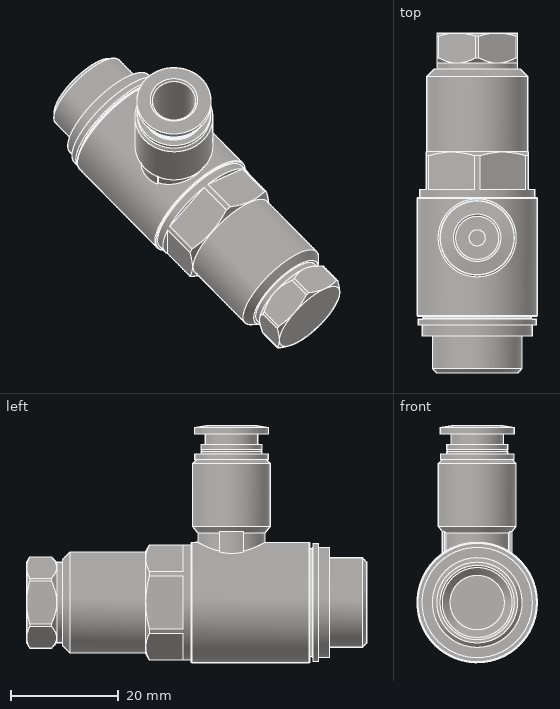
import cadquery as cq
import math


overall_length = 63.2
front_y = -25.15
rear_y = front_y + overall_length
thread_length = 6.9
collar_width = 2.05
washer_width = 1.1
groove_width = 0.5
body_length = 22.1
rear_flange_width = 1.5
hex_length = 7.0
sleeve_length = 15.4
neck_width = 1.05

collar_front_y = front_y + thread_length
washer_front_y = collar_front_y + collar_width
groove_front_y = washer_front_y + washer_width
body_front_y = groove_front_y + groove_width
body_rear_y = body_front_y + body_length
hex_front_y = body_rear_y + rear_flange_width
hex_rear_y = hex_front_y + hex_length
sleeve_rear_y = hex_rear_y + sleeve_length
nut_front_y = sleeve_rear_y + neck_width

thread_diameter = 16.66
thread_chamfer = 0.83
collar_diameter = 20.5
washer_diameter = 22.0
groove_diameter = 20.15
body_diameter = 22.4
body_edge_chamfer_width = 0.2
body_edge_chamfer_height = 0.1
rear_flange_diameter = 21.4
sleeve_diameter = 18.8
sleeve_chamfer = 1.4
neck_diameter = 15.0

hex_sides = 6
hex_half_sector = 180 / hex_sides
body_hex_flats = 19.0
body_hex_corner_diameter = 21.4
nut_flats = 15.0
nut_corner_diameter = 17.0
hex_chamfer_angle = 30.0
nut_inner_chamfer_angle = 45.0

socket_mouth_diameter = 13.8
socket_diameter = 13.0
socket_floor_diameter = 10.1
socket_mouth_taper_length = 0.75
socket_cone_start = 1.7
socket_depth = socket_cone_start + (socket_diameter - socket_floor_diameter) / 2

stem_top_z = 32.9
flange_top_z = 32.5
flange_bottom_z = 31.27
ring_top_z = 29.4
ring_groove_top_z = 28.45
ring_groove_bottom_z = 28.05
cap_top_z = 27.6
cap_bottom_z = 26.55
barrel_shoulder_z = 25.8
barrel_bottom_z = 14.15
stem_neck_top_z = 12.9

flange_diameter = 13.8
release_sleeve_diameter = 9.8
ring_diameter = 11.4
ring_groove_diameter = 11.0
cap_diameter = 13.68
barrel_top_diameter = 13.0
barrel_diameter = 14.5
stem_neck_diameter = 12.5
key_diameter = 13.0
key_width = 4.5

tube_bore_diameter = 8.0
tube_mouth_diameter = 8.8
tube_mouth_chamfer = (tube_mouth_diameter - tube_bore_diameter) / 2
tube_bore_floor_z = 15.0
flow_hole_diameter = 3.0


def turned(profile):
    """Solid of revolution about Z from (diameter, z) corners, closed along the axis."""
    outline = [(diameter / 2, level) for diameter, level in profile]
    points = [(0, outline[0][1])] + outline + [(0, outline[-1][1])]
    return cq.Workplane("XZ").polyline(points).close().revolve(360, (0, 0), (0, 1))


def along_y(solid):
    """Lay a solid built along +Z down so that it runs along +Y."""
    return solid.rotate((0, 0, 0), (1, 0, 0), -90)


def hexagon(flats, start, end):
    """Hexagonal bar along Z with two flats facing +X and -X."""
    across_corners = flats / math.cos(math.radians(hex_half_sector))
    base = cq.Workplane("XY").workplane(offset=start)
    bar = base.polygon(hex_sides, across_corners).extrude(end - start)
    return bar.rotate((0, 0, 0), (0, 0, 1), hex_half_sector)


def chamfer_run(corner_diameter, end_diameter, angle):
    """Axial length of a conical chamfer between two diameters."""
    return (corner_diameter - end_diameter) / 2 * math.tan(math.radians(angle))


def make_front_end():
    return turned([
        (thread_diameter - 2 * thread_chamfer, front_y),
        (thread_diameter, front_y + thread_chamfer),
        (thread_diameter, collar_front_y),
        (collar_diameter, collar_front_y),
        (collar_diameter, washer_front_y),
        (washer_diameter, washer_front_y),
        (washer_diameter, groove_front_y),
        (collar_diameter, groove_front_y),
        (groove_diameter, groove_front_y + (collar_diameter - groove_diameter) / 2),
        (groove_diameter, body_front_y),
    ])


def make_body():
    edge_diameter = body_diameter - 2 * body_edge_chamfer_height
    return turned([
        (edge_diameter, body_front_y),
        (body_diameter, body_front_y + body_edge_chamfer_width),
        (body_diameter, body_rear_y - body_edge_chamfer_width),
        (edge_diameter, body_rear_y),
        (rear_flange_diameter, body_rear_y),
        (rear_flange_diameter, hex_front_y),
    ])


def make_body_hex():
    run = chamfer_run(body_hex_corner_diameter, sleeve_diameter, hex_chamfer_angle)
    envelope = turned([
        (body_hex_corner_diameter, hex_front_y),
        (body_hex_corner_diameter, hex_rear_y - run),
        (sleeve_diameter, hex_rear_y),
    ])
    return hexagon(body_hex_flats, hex_front_y, hex_rear_y).intersect(envelope)


def make_sleeve():
    return turned([
        (sleeve_diameter, hex_rear_y),
        (sleeve_diameter, sleeve_rear_y - sleeve_chamfer),
        (sleeve_diameter - 2 * sleeve_chamfer, sleeve_rear_y),
        (neck_diameter, sleeve_rear_y),
        (neck_diameter, nut_front_y),
    ])


def make_nut():
    front_run = chamfer_run(nut_corner_diameter, neck_diameter, nut_inner_chamfer_angle)
    rear_run = chamfer_run(nut_corner_diameter, nut_flats, hex_chamfer_angle)
    envelope = turned([
        (neck_diameter, nut_front_y),
        (nut_corner_diameter, nut_front_y + front_run),
        (nut_corner_diameter, rear_y - rear_run),
        (nut_flats, rear_y),
    ])
    return hexagon(nut_flats, nut_front_y, rear_y).intersect(envelope)


def make_socket():
    return turned([
        (socket_mouth_diameter, front_y),
        (socket_diameter, front_y + socket_mouth_taper_length),
        (socket_diameter, front_y + socket_cone_start),
        (socket_floor_diameter, front_y + socket_depth),
    ])


def make_stem():
    """Push-in fitting outline; the ring groove tapers in from its upper edge."""
    return turned([
        (stem_neck_diameter, 0),
        (stem_neck_diameter, stem_neck_top_z),
        (barrel_diameter, barrel_bottom_z),
        (barrel_diameter, barrel_shoulder_z),
        (barrel_top_diameter, cap_bottom_z),
        (cap_diameter, cap_bottom_z),
        (cap_diameter, cap_top_z),
        (ring_diameter, cap_top_z),
        (ring_diameter, ring_groove_bottom_z),
        (ring_groove_diameter, ring_groove_bottom_z),
        (ring_diameter, ring_groove_top_z),
        (ring_diameter, ring_top_z),
        (release_sleeve_diameter, ring_top_z),
        (release_sleeve_diameter, flange_bottom_z),
        (flange_diameter, flange_bottom_z),
        (flange_diameter, flange_top_z),
        (tube_mouth_diameter, stem_top_z),
    ])


def make_stem_keys():
    """Raised keys on the -X and +X sides of the stem neck, ending under the barrel."""
    column = turned([(key_diameter, 0), (key_diameter, barrel_bottom_z)])
    slab = cq.Workplane("XY").rect(key_diameter, key_width).extrude(barrel_bottom_z)
    return column.intersect(slab)


def make_stem_bore():
    return turned([
        (flow_hole_diameter, 0),
        (flow_hole_diameter, tube_bore_floor_z),
        (tube_bore_diameter, tube_bore_floor_z),
        (tube_bore_diameter, stem_top_z - tube_mouth_chamfer),
        (tube_mouth_diameter, stem_top_z),
    ])


main_axis = make_front_end()
for section in (make_body(), make_body_hex(), make_sleeve(), make_nut()):
    main_axis = main_axis.union(section)
main_axis = along_y(main_axis.cut(make_socket()))

result = main_axis.union(make_stem()).union(make_stem_keys()).cut(make_stem_bore())